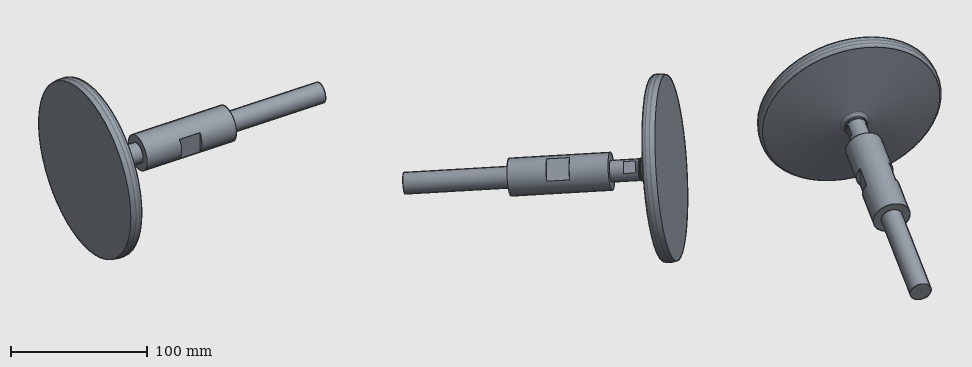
import cadquery as cq

TOTAL_LENGTH = 198.0

FOOT_RADIUS = 138.0 / 2
SOLE_RADIUS = 68.3
SOLE_TAPER_HEIGHT = 4.0
RIM_HEIGHT = 7.1
SHOULDER_RADIUS = 67.3
SHOULDER_HEIGHT = 9.9
CONE_TOP_RADIUS = 10.9
CONE_TOP_HEIGHT = 19.0
COLLAR_RADIUS = 8.5
COLLAR_BASE_HEIGHT = 20.8
COLLAR_LIP_HEIGHT = 22.2
COLLAR_TOP_HEIGHT = 23.2
COLLAR_GROOVE_DEPTH = 0.5
FLARE_SAG = 0.2

SPINDLE_RADIUS = 16.0 / 2
NECK_RADIUS = 5.7
SOCKET_FLOOR = 9.9
SHANK_START = 23.4
SPINDLE_FLAT_START = 25.1
SPINDLE_FLAT_LENGTH = 9.1
SPINDLE_ACROSS_FLATS = 13.0

SLEEVE_RADIUS = 28.0 / 2
SLEEVE_START = 44.5
SLEEVE_LENGTH = 75.0
SLEEVE_FLAT_LENGTH = 17.0
SLEEVE_ACROSS_FLATS = 22.0


def cylinder(radius, start, length):
    """Cylinder along +Y that begins at Y = start."""
    return cq.Workplane("XZ", origin=(0, start, 0)).circle(radius).extrude(-length)


def cut_flats(body, radius, across_flats, start, length):
    """Mill two opposite wrench flats, facing -X and +X, into a round body."""
    depth = radius - across_flats / 2
    for side in (-1, 1):
        cutter = cq.Workplane("XY").box(2 * depth, length, 2 * radius).translate(
            (side * (across_flats / 2 + depth), start + length / 2, 0)
        )
        body = body.cut(cutter)
    return body


def make_foot():
    """Conical plate with a rounded rim, a flared and grooved collar, and a blind socket."""
    groove_height = (COLLAR_BASE_HEIGHT + COLLAR_LIP_HEIGHT) / 2
    profile = (
        cq.Workplane("XY")
        .moveTo(0, 0)
        .lineTo(SOLE_RADIUS, 0)
        .lineTo(FOOT_RADIUS, SOLE_TAPER_HEIGHT)
        .lineTo(FOOT_RADIUS, RIM_HEIGHT)
        .tangentArcPoint((SHOULDER_RADIUS, SHOULDER_HEIGHT), relative=False)
        .lineTo(CONE_TOP_RADIUS, CONE_TOP_HEIGHT)
        .sagittaArc((COLLAR_RADIUS, COLLAR_BASE_HEIGHT), FLARE_SAG)
        .lineTo(COLLAR_RADIUS - COLLAR_GROOVE_DEPTH, groove_height)
        .lineTo(COLLAR_RADIUS, COLLAR_LIP_HEIGHT)
        .lineTo(NECK_RADIUS, COLLAR_TOP_HEIGHT)
        .lineTo(0, COLLAR_TOP_HEIGHT)
        .close()
    )
    foot = profile.revolve(360, (0, 0, 0), (0, 1, 0))
    return foot.cut(cylinder(NECK_RADIUS, SOCKET_FLOOR, COLLAR_TOP_HEIGHT - SOCKET_FLOOR))


def make_spindle():
    """Round rod with a thinner neck that sits in the foot, and two wrench flats."""
    neck = cylinder(NECK_RADIUS, SOCKET_FLOOR, SHANK_START - SOCKET_FLOOR)
    shank = cylinder(SPINDLE_RADIUS, SHANK_START, TOTAL_LENGTH - SHANK_START)
    return cut_flats(
        neck.union(shank),
        SPINDLE_RADIUS,
        SPINDLE_ACROSS_FLATS,
        SPINDLE_FLAT_START,
        SPINDLE_FLAT_LENGTH,
    )


def make_sleeve():
    """Tube around the spindle with two wrench flats at mid-length."""
    tube = cylinder(SLEEVE_RADIUS, SLEEVE_START, SLEEVE_LENGTH).cut(
        cylinder(SPINDLE_RADIUS, SLEEVE_START, SLEEVE_LENGTH)
    )
    flat_start = SLEEVE_START + (SLEEVE_LENGTH - SLEEVE_FLAT_LENGTH) / 2
    return cut_flats(tube, SLEEVE_RADIUS, SLEEVE_ACROSS_FLATS, flat_start, SLEEVE_FLAT_LENGTH)


foot = make_foot()
spindle = make_spindle()
sleeve = make_sleeve()

result = cq.Compound.makeCompound([foot.val(), spindle.val(), sleeve.val()])